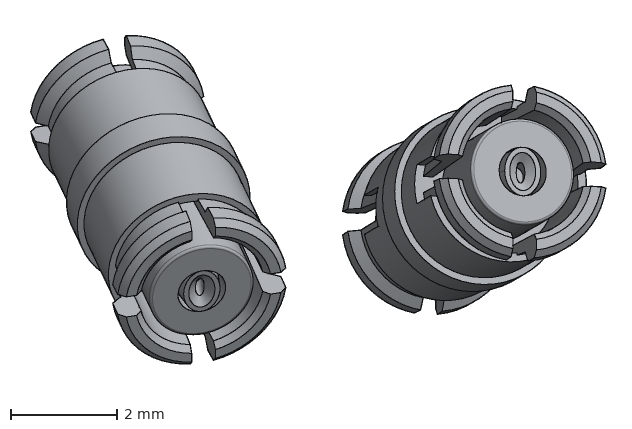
import cadquery as cq

length = 6.45
half_length = length / 2

collar_diameter = 3.38
collar_width = 0.78
barrel_diameter = 3.12

cavity_floor_x = 1.245
bore_diameter = 2.42
bore_chamfer = 0.12
rim_diameter = 3.32
rim_chamfer = 0.13
rim_land = 0.35
rim_back_slope = 0.16
finger_neck_radius = 1.455
finger_root_radius = 1.395

slot_count = 4
slot_tip_width = 0.463
slot_floor_width = 0.31

shoulder_x = 2.125
sleeve_bore_radius = 1.39
sleeve_gap = 0.75

dielectric_diameter = 2.03
dielectric_recess = 0.124
dielectric_edge_radius = 0.05
dielectric_half_length = half_length - dielectric_recess

contact_diameter = 0.93
pinched_width = 0.71
pinch_length = 0.6
socket_diameter = 0.39
funnel_depth = 0.14
funnel_flare = 0.17
pinched_socket_width = socket_diameter - (contact_diameter - pinched_width)


def both_ends(end_shape):
    """Return the given +X end shape together with its mirror image at -X."""
    return [end_shape, end_shape.mirror("YZ")]


def rod(diameter, rod_length):
    """Cylinder on the X axis, centred on the origin."""
    return cq.Workplane("YZ").circle(diameter / 2).extrude(rod_length / 2, both=True)


def housing_core():
    """Solid of the collar, middle barrel and finger tube, without slots or sleeves."""
    rim_radius = rim_diameter / 2
    bore_radius = bore_diameter / 2
    rim_front_x = half_length - rim_chamfer
    rim_back_x = rim_front_x - rim_land
    half_outline = [
        (collar_width / 2, collar_diameter / 2),
        (collar_width / 2, barrel_diameter / 2),
        (cavity_floor_x, barrel_diameter / 2),
        (cavity_floor_x, finger_root_radius),
        (rim_back_x - rim_back_slope, finger_neck_radius),
        (rim_back_x, rim_radius),
        (rim_front_x, rim_radius),
        (half_length, rim_radius - rim_chamfer),
        (half_length, bore_radius + bore_chamfer),
        (half_length - bore_chamfer, bore_radius),
        (cavity_floor_x, bore_radius),
        (cavity_floor_x, dielectric_diameter / 2),
    ]
    mirrored_outline = [(-x, radius) for x, radius in reversed(half_outline)]
    return cq.Workplane("XY").polyline(half_outline + mirrored_outline).close().revolve(
        360, (0, 0, 0), (1, 0, 0)
    )


def finger_slots():
    """Slots between the +X fingers, cut from the tip down to the cavity floor."""
    wedge = (
        cq.Workplane("XY")
        .moveTo(cavity_floor_x, -slot_floor_width / 2)
        .lineTo(half_length, -slot_tip_width / 2)
        .lineTo(half_length, slot_tip_width / 2)
        .lineTo(cavity_floor_x, slot_floor_width / 2)
        .close()
        .extrude(collar_diameter)
    )
    step = 360 / slot_count
    return [wedge.rotate((0, 0, 0), (1, 0, 0), i * step) for i in range(slot_count)]


def split_sleeve():
    """C-shaped sleeve around the roots of the +X fingers, open on its +Y side."""
    sleeve_length = shoulder_x - cavity_floor_x
    ring = (
        cq.Workplane("YZ", origin=(cavity_floor_x, 0, 0))
        .circle(barrel_diameter / 2)
        .circle(sleeve_bore_radius)
        .extrude(sleeve_length)
    )
    gap = cq.Workplane("XY").box(
        sleeve_length, barrel_diameter, sleeve_gap, centered=(False, False, True)
    )
    return ring.cut(gap.translate((cavity_floor_x, 0, 0)))


def make_housing():
    body = housing_core()
    for slot in finger_slots():
        for cutter in both_ends(slot):
            body = body.cut(cutter)
    for sleeve in both_ends(split_sleeve()):
        body = body.union(sleeve)
    return body


def pinched_end(width, height, start_x, end_x):
    """Loft along X from a full circle to an ellipse narrowed along Y."""
    return (
        cq.Workplane("YZ", origin=(start_x, 0, 0))
        .circle(height / 2)
        .workplane(offset=end_x - start_x)
        .ellipse(width / 2, height / 2)
        .loft(combine=True)
    )


def funnel():
    """Flared mouth of the socket at the +X end of the contact."""
    return (
        cq.Workplane("YZ", origin=(dielectric_half_length - funnel_depth, 0, 0))
        .ellipse(pinched_socket_width / 2, socket_diameter / 2)
        .workplane(offset=funnel_depth)
        .ellipse(pinched_socket_width / 2 + funnel_flare, socket_diameter / 2 + funnel_flare)
        .loft(combine=True)
    )


def make_contact():
    pinch_start_x = dielectric_half_length - pinch_length
    contact = rod(contact_diameter, 2 * pinch_start_x)
    outer = pinched_end(pinched_width, contact_diameter, pinch_start_x, dielectric_half_length)
    for end in both_ends(outer):
        contact = contact.union(end)
    socket = pinched_end(
        pinched_socket_width, socket_diameter, pinch_start_x, dielectric_half_length - funnel_depth
    ).union(funnel())
    for end in both_ends(socket):
        contact = contact.cut(end)
    return contact


def make_dielectric():
    body = rod(dielectric_diameter, 2 * dielectric_half_length)
    body = body.faces("<X or >X").edges().fillet(dielectric_edge_radius)
    return body.cut(rod(contact_diameter, length))


housing = make_housing()
dielectric = make_dielectric()
contact = make_contact()

result = cq.Compound.makeCompound([housing.val(), dielectric.val(), contact.val()])